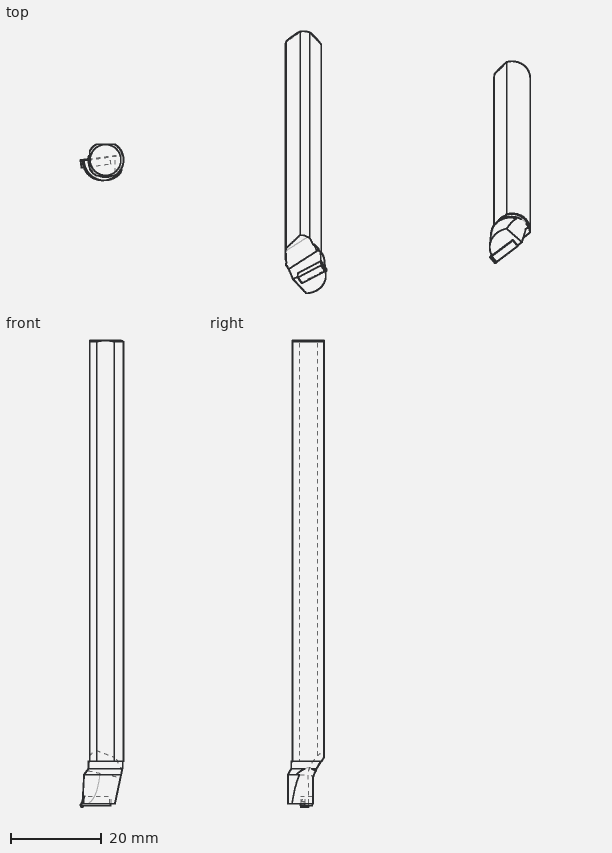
import cadquery as cq
import math

TOTAL_HEIGHT = 102.7
SHANK_DIAMETER = 8.0
FLAT_OFFSET = 3.5
SHANK_BOTTOM = 10.1
TOP_CHAMFER_HEIGHT = 0.3
TOP_CHAMFER_WIDTH = 0.6

NECK_RADIUS = 3.8
NECK_BOTTOM = 8.4
COLLAR_BOTTOM = 7.2
COLLAR_CENTER_X = -0.2

HEAD_BOTTOM = 0.7
HEAD_RADIUS = 4.5
HEAD_CENTER_X = -0.6
RELIEF_RADIUS = 4.6
RELIEF_CENTER_X = -0.1
RELIEF_LEAN = 3.3

FLANK_TOP_X = SHANK_DIAMETER / 2
FLANK_TOP_Z = 9.8
FLANK_ANGLE = 12.0

TIP_X = -5.5
RAKE_ANGLE = 8.0
RUNOUT_START_Z = 8.2
RUNOUT_MIDDLE = (0.8, 10.1)
RUNOUT_END = (2.5, 12.0)
RUNOUT_EXIT = (5.1, 14.9)

INSERT_THICKNESS = 1.7
INSERT_ALLOWANCE = 0.5
INSERT_BOTTOM = 0.3
INSERT_TOP = 2.4
INSERT_LENGTH = 6.5
TIP_SETBACK = 0.5
TIP_HEIGHT = 0.5
NOSE_LOW_SETBACK = 0.2
NOSE_TOP = 1.3

CUTTER_SIZE = 30.8


def upright_cylinder(radius, center_x, bottom, top):
    return cq.Workplane("XY", origin=(center_x, 0, bottom)).circle(radius).extrude(top - bottom)


def make_shank():
    shank = upright_cylinder(SHANK_DIAMETER / 2, 0, SHANK_BOTTOM, TOTAL_HEIGHT)
    shank = shank.faces(">Z").chamfer(TOP_CHAMFER_HEIGHT, TOP_CHAMFER_WIDTH)
    flat_width = FLAT_OFFSET + SHANK_DIAMETER / 2
    flats = (
        cq.Workplane("XY", origin=(0, 0, SHANK_BOTTOM))
        .center((SHANK_DIAMETER / 2 - FLAT_OFFSET) / 2, 0)
        .rect(flat_width, 2 * FLAT_OFFSET)
        .extrude(TOTAL_HEIGHT - SHANK_BOTTOM)
    )
    return shank.intersect(flats)


def make_neck():
    neck = upright_cylinder(NECK_RADIUS, 0, NECK_BOTTOM, SHANK_BOTTOM)
    collar = (
        cq.Workplane("XY", origin=(COLLAR_CENTER_X, 0, COLLAR_BOTTOM))
        .circle(HEAD_RADIUS)
        .workplane(offset=NECK_BOTTOM - COLLAR_BOTTOM)
        .center(-COLLAR_CENTER_X, 0)
        .circle(NECK_RADIUS)
        .loft(ruled=True)
    )
    return neck.union(collar)


def relief_cylinder():
    """Leaning cylinder whose foot is shifted towards -X."""
    axis_point = (RELIEF_CENTER_X, 0, COLLAR_BOTTOM)
    axis_end = (RELIEF_CENTER_X, 1, COLLAR_BOTTOM)
    return (
        cq.Workplane("XY", origin=axis_point)
        .circle(RELIEF_RADIUS)
        .extrude(CUTTER_SIZE, both=True)
        .rotate(axis_point, axis_end, RELIEF_LEAN)
    )


def make_head():
    head = upright_cylinder(HEAD_RADIUS, HEAD_CENTER_X, HEAD_BOTTOM, COLLAR_BOTTOM)
    return head.intersect(relief_cylinder())


def flank_cutter():
    """Wedge outside the slanted flank."""
    flank_foot_x = FLANK_TOP_X - FLANK_TOP_Z * math.tan(math.radians(FLANK_ANGLE))
    return (
        cq.Workplane("XZ")
        .moveTo(FLANK_TOP_X, FLANK_TOP_Z)
        .lineTo(CUTTER_SIZE, FLANK_TOP_Z)
        .lineTo(CUTTER_SIZE, 0)
        .lineTo(flank_foot_x, 0)
        .close()
        .extrude(CUTTER_SIZE, both=True)
    )


def tilt_to_rake(body):
    """Turn a body about the vertical line through the tip."""
    return body.rotate((TIP_X, 0, 0), (TIP_X, 0, 1), RAKE_ANGLE)


def rake_cutter():
    """Space above the rake face, with its runout square to the slanted flank."""
    cutter = (
        cq.Workplane("YZ", origin=(TIP_X, 0, 0))
        .moveTo(0, -CUTTER_SIZE)
        .lineTo(0, RUNOUT_START_Z)
        .threePointArc(RUNOUT_MIDDLE, RUNOUT_END)
        .lineTo(*RUNOUT_EXIT)
        .lineTo(CUTTER_SIZE, RUNOUT_EXIT[1])
        .lineTo(CUTTER_SIZE, -CUTTER_SIZE)
        .close()
        .extrude(CUTTER_SIZE, both=True)
    )
    return tilt_to_rake(cutter).rotate((TIP_X, 0, 0), (TIP_X, 1, 0), FLANK_ANGLE)


def make_insert():
    """Plate flush with the rake face, with a pointed nose at the tip."""
    side_x = TIP_X + TIP_SETBACK
    end_x = TIP_X + INSERT_LENGTH
    plate = (
        cq.Workplane("XZ", origin=(0, INSERT_ALLOWANCE, 0))
        .moveTo(TIP_X, TIP_HEIGHT)
        .lineTo(TIP_X + NOSE_LOW_SETBACK, 0)
        .lineTo(side_x, INSERT_BOTTOM)
        .lineTo(end_x, INSERT_BOTTOM)
        .lineTo(end_x, INSERT_TOP)
        .lineTo(side_x, INSERT_TOP)
        .lineTo(side_x, NOSE_TOP)
        .close()
        .extrude(INSERT_THICKNESS + INSERT_ALLOWANCE)
    )
    return tilt_to_rake(plate).cut(rake_cutter())


def make_holder(insert):
    holder = make_shank().union(make_neck()).union(make_head())
    holder = holder.cut(flank_cutter()).cut(rake_cutter())
    return holder.cut(insert)


insert = make_insert()
holder = make_holder(insert)

result = cq.Compound.makeCompound([holder.solids().val(), insert.solids().val()])